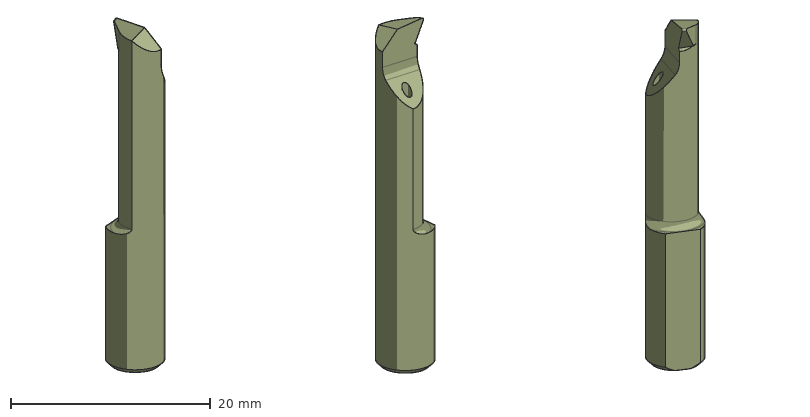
import cadquery as cq
import math

length = 37.0
shank_radius = 3.0
flat_width = 3.7
flat_x = -math.sqrt(shank_radius**2 - (flat_width / 2) ** 2)
base_chamfer = 0.5
shank_top = 15.02

neck_radius = 2.75
neck_x = math.sqrt(shank_radius**2 - neck_radius**2)
neck_fillet = 0.78

wall_y = 0.07
wall_corner_z = 32.3
slope_angle = math.radians(38)
relief_fillet = 2.07

head_bottom = 34.5
apex_x = -2.45
nose_loss = 0.035
apex_z = length + nose_loss
root_x = -1.22
ledge_drop = 0.22
side_lean = 0.07
flank_angle = math.radians(45)
top_fall_x = 0.11
top_fall_y = 0.14
bevel_x = 1.07
bevel_fall_y = 0.1
nose_radius = 0.2

hole_diameter = 1.0
hole_x = 1.0
hole_y = 1.48

reach = 11.1


def cylinder(radius, bottom, top):
    return cq.Workplane("XY", origin=(0, 0, bottom)).circle(radius).extrude(top - bottom)


def prism(points, sweep):
    """Sweep an XZ outline along a slanted vector that starts on the flat wall."""
    outline = cq.Wire.makePolygon([cq.Vector(x, wall_y, z) for x, z in points], close=True)
    return cq.Workplane(cq.Solid.extrudeLinear(outline, [], cq.Vector(*sweep)))


def make_shank():
    return cylinder(shank_radius, 0, shank_top).faces("<Z").chamfer(base_chamfer)


def make_neck():
    """Neck with a concave flare at its root."""
    flare_radius = neck_radius + neck_fillet
    flare_top = shank_top + neck_fillet
    dip = neck_fillet * (1 - math.sqrt(0.5))
    profile = (
        cq.Workplane("XZ")
        .moveTo(0, shank_top)
        .lineTo(flare_radius, shank_top)
        .threePointArc((neck_radius + dip, shank_top + dip), (neck_radius, flare_top))
        .lineTo(neck_radius, apex_z)
        .lineTo(0, apex_z)
        .close()
    )
    return profile.revolve(360, (0, 0, 0), (0, 1, 0)).translate((neck_x, 0, 0))


def make_head():
    """Wedge above the neck, bounded by a plane tangent to the neck."""
    tangent_x = neck_x - neck_radius * math.cos(flank_angle)
    tangent_y = -neck_radius * math.sin(flank_angle)
    run = wall_y - tangent_y
    corner_x = tangent_x - run * math.tan(flank_angle)
    return (
        cq.Workplane("XY", origin=(0, 0, head_bottom))
        .polyline([(corner_x, wall_y), (tangent_x, tangent_y), (neck_x, wall_y)])
        .close()
        .extrude(apex_z - head_bottom)
    )


def cut_side_flank(body):
    root = (root_x, head_bottom)
    ledge_end = (neck_x - neck_radius, head_bottom - ledge_drop)
    outline = [(apex_x, apex_z), root, ledge_end, (-reach, ledge_end[1]), (-reach, apex_z)]
    return body.cut(prism(outline, (side_lean * reach, -reach, 0)))


def cut_end_faces(body):
    """Two end planes, both falling away behind the cutting edge."""
    ceiling = length + reach
    end_z = apex_z - top_fall_x * (reach - apex_x)
    end_face = [(apex_x, apex_z), (reach, end_z), (reach, ceiling), (apex_x, ceiling)]
    body = body.cut(prism(end_face, (0, -reach, -top_fall_y * reach)))
    bevel_z = apex_z - top_fall_x * (bevel_x - apex_x)
    bevel = [
        (bevel_x - reach, bevel_z + reach),
        (bevel_x + reach, bevel_z - reach),
        (bevel_x + reach, bevel_z + reach),
    ]
    return body.cut(prism(bevel, (0, -reach, -bevel_fall_y * reach)))


def make_chip_relief():
    slope_end_z = wall_corner_z - (reach - wall_y) / math.tan(slope_angle)
    ceiling = length + reach
    outline = [(wall_y, ceiling), (wall_y, wall_corner_z), (reach, slope_end_z), (reach, ceiling)]
    solid = cq.Workplane("YZ").polyline(outline).close().extrude(reach, both=True)
    corner = cq.selectors.NearestToPointSelector((0, wall_y, wall_corner_z))
    return solid.edges(corner).fillet(relief_fillet)


def make_coolant_hole():
    return cq.Workplane("XY").center(hole_x, hole_y).circle(hole_diameter / 2).extrude(length)


envelope = cylinder(shank_radius, 0, apex_z)
upper = make_neck().intersect(envelope).union(make_head())
upper = cut_end_faces(cut_side_flank(upper.cut(make_chip_relief())))
nose_edge = cq.selectors.NearestToPointSelector((apex_x, wall_y - nose_radius, apex_z))
upper = upper.edges(nose_edge).fillet(nose_radius)

flat_cut = cq.Workplane("XY").box(reach, reach, length, centered=(False, True, False))
result = make_shank().union(upper).cut(flat_cut.translate((flat_x - reach, 0, 0)))
result = result.cut(make_coolant_hole())